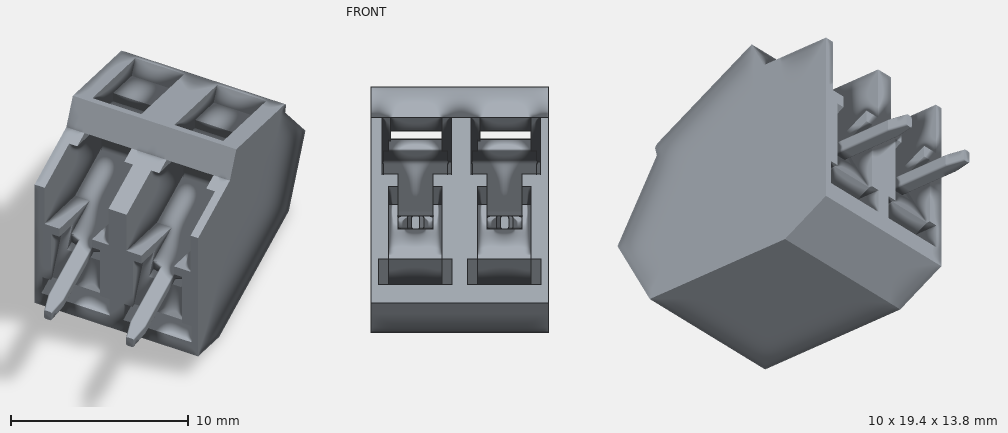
import cadquery as cq
import math


pole_pitch = 5.0
pole_centres = (-pole_pitch / 2, pole_pitch / 2)
pocket_shift = 0.08
terminal_shift = 0.02

width = 10.0
height = 13.8
total_length = 19.4
front_top_z = 12.07
bevel_start_y = 4.55
back_y = 15.4
back_z = 4.42
bottom_back_y = 13.02
bottom_front_y = 3.03
chamfer_top_z = 1.65
bead_radius = 0.56
bead_back_y = 12.63
bead_centre_z = 9.58
bead_end_elevation = math.radians(20)
notch_y = 12.5
notch_z = 9.25

tilt = math.radians(28.3)
slope = math.tan(tilt)
steep = 1 / slope

ridge_y = bevel_start_y + (height - front_top_z) / steep

pocket_width = 3.9
pocket_floor_z = 8.89
neck_start_y = 3.51
neck_width = 2.87

window_width = 2.99
window_front_y = 5.95
window_ledge_start_y = 8.95
window_floor_end = (11.6, 9.23)

cavity_top_z = 8.19
cavity_lip_y = 0.21
cavity_width = window_width
recess_width = 4.15
recess_bottom_z = 2.7
recess_top_z = 4.13

sheet = 0.74
plate_bottom_z = 5.8
plate_top_z = plate_bottom_z + sheet
terminal_width = 3.75
plate_front_y = 4.75
wall_front_y = 8.13
leaf_tip_y = 6.89
outer_bend_radius = 3.47 / 2
leaf_top_end_y = 8.65
inner_bend_radius = 0.25
pin_edge_radius = 0.12
leaf_edge_radius = 0.12
side_edge_radius = 0.08

shoulder_width = 1.98
shoulder_front_y = 1.7
pin_width = 0.93
pin_root_y = 1.5
pin_taper_y = -2.83
pin_tip_y = back_y - total_length
pin_tip_width = 0.47


def along_x(points, extent, centre_x):
    """Closed Y-Z outline extruded over an X extent about a centre."""
    return cq.Workplane("YZ", origin=(centre_x, 0, 0)).polyline(points).close().extrude(extent / 2, both=True)


def ceiling_z(y):
    """Height of the tilted pocket ceiling, which also carries the terminal's leaf."""
    return front_top_z - slope * (y - neck_start_y)


def housing_blank():
    """Outer shape of the housing, the same all across X."""
    bead_centre_y = bead_back_y - bead_radius * math.cos(bead_end_elevation)

    def bead_point(elevation):
        return (
            bead_centre_y + bead_radius * math.cos(elevation),
            bead_centre_z + bead_radius * math.sin(elevation),
        )

    bead_start_elevation = math.pi / 2 - tilt
    bead_middle_elevation = (bead_start_elevation + bead_end_elevation) / 2
    return (
        cq.Workplane("YZ")
        .moveTo(0, chamfer_top_z)
        .lineTo(0, front_top_z)
        .lineTo(bevel_start_y, front_top_z)
        .lineTo(ridge_y, height)
        .lineTo(*bead_point(bead_start_elevation))
        .threePointArc(bead_point(bead_middle_elevation), bead_point(bead_end_elevation))
        .lineTo(notch_y, notch_z)
        .lineTo(back_y, back_z)
        .lineTo(bottom_back_y, 0)
        .lineTo(bottom_front_y, 0)
        .close()
        .extrude(width / 2, both=True)
    )


def front_pocket(pole_x):
    """Pocket between the tilted floor and ceiling, open to the front and to the flat top."""
    floor_end_y = (pocket_floor_z - plate_top_z) / slope
    outline = [
        (0, pocket_floor_z),
        (0, front_top_z),
        (neck_start_y, front_top_z),
        (wall_front_y, ceiling_z(wall_front_y)),
        (wall_front_y, plate_top_z),
        (floor_end_y, plate_top_z),
    ]
    return along_x(outline, pocket_width, pole_x + pocket_shift)


def neck(pole_x):
    """Narrower passage above the pocket ceiling that leads into the window."""
    roof_end_z = front_top_z - slope * (window_front_y - bevel_start_y)
    outline = [
        (neck_start_y, front_top_z),
        (bevel_start_y, front_top_z),
        (window_front_y, roof_end_z),
        (window_front_y, ceiling_z(window_front_y)),
    ]
    flush_shift = (window_width - neck_width) / 2
    return along_x(outline, neck_width, pole_x + flush_shift)


def window(pole_x):
    """Opening in the tilted top: a shallow floor at the back, open to the pocket at the front."""
    floor_y, floor_z = window_floor_end
    ledge_z = floor_z + slope * (floor_y - window_ledge_start_y)
    outline = [
        (window_front_y, height),
        (window_front_y, ceiling_z(window_front_y)),
        (window_ledge_start_y, ceiling_z(window_ledge_start_y)),
        (window_ledge_start_y, ledge_z),
        window_floor_end,
        (floor_y + (height - floor_z) / steep, height),
    ]
    return along_x(outline, window_width, pole_x)


def shoulder_slot(pole_x):
    """Slot through the pocket floor, filled at the bottom by the terminal's shoulder."""
    outline = [
        (0, plate_bottom_z),
        (0, pocket_floor_z),
        (plate_front_y, pocket_floor_z),
        (plate_front_y, plate_bottom_z),
    ]
    return along_x(outline, shoulder_width, pole_x + terminal_shift)


def lower_cavity(pole_x):
    """Wedge-shaped cavity whose apex lies behind the pin, plus the recess under it."""
    apex_y = (cavity_top_z - recess_top_z + steep * cavity_lip_y) / (slope + steep)
    apex_z = cavity_top_z - slope * apex_y
    wedge = along_x(
        [(0, recess_top_z), (0, cavity_top_z), (apex_y, apex_z), (cavity_lip_y, recess_top_z)],
        cavity_width,
        pole_x,
    )
    recess_depth = cavity_lip_y + (recess_top_z - recess_bottom_z) / slope
    recess = along_x(
        [(0, recess_bottom_z), (0, recess_top_z), (recess_depth, recess_top_z), (recess_depth, recess_bottom_z)],
        recess_width,
        pole_x,
    )
    overhang = along_x(
        [(cavity_lip_y, recess_top_z), (recess_depth, recess_top_z), (recess_depth, recess_bottom_z)],
        cavity_width,
        pole_x,
    )
    return wedge.union(recess.cut(overhang))


def terminal_clamp(centre_x):
    """Plate, upright wall and leaf that bends back toward the front along the pocket ceiling."""
    leaf_tip_z = ceiling_z(leaf_tip_y)
    leaf_top_y = leaf_tip_y + sheet * math.sin(tilt)
    leaf_top_z = leaf_tip_z + sheet * math.cos(tilt)
    wall_back_y = leaf_top_end_y + outer_bend_radius * (1 - math.sin(tilt))
    back_corner_z = leaf_top_z - slope * (wall_back_y - leaf_top_y)
    inner_corner_z = ceiling_z(wall_front_y)
    clamp = along_x(
        [
            (plate_front_y, plate_bottom_z),
            (plate_front_y, plate_top_z),
            (wall_front_y, plate_top_z),
            (wall_front_y, inner_corner_z),
            (leaf_tip_y, leaf_tip_z),
            (leaf_top_y, leaf_top_z),
            (wall_back_y, back_corner_z),
            (wall_back_y, plate_bottom_z),
        ],
        terminal_width,
        centre_x,
    )

    def round_edge(body, y, z, radius):
        nearest = cq.selectors.NearestToPointSelector((centre_x, y, z))
        return body.edges("|X").edges(nearest).fillet(radius)

    clamp = round_edge(clamp, wall_back_y, back_corner_z, outer_bend_radius)
    clamp = round_edge(clamp, wall_front_y, plate_top_z, inner_bend_radius)
    clamp = round_edge(clamp, wall_front_y, inner_corner_z, inner_bend_radius)
    clamp = round_edge(clamp, leaf_tip_y, leaf_tip_z, leaf_edge_radius)
    clamp = round_edge(clamp, leaf_top_y, leaf_top_z, leaf_edge_radius)
    return clamp.faces("<X or >X").edges().fillet(side_edge_radius)


def terminal_pin(centre_x):
    """Flat pin with a tapered tip, widening to the shoulder that fills the slot."""
    half_outline = [
        (pin_tip_width / 2, pin_tip_y),
        (pin_width / 2, pin_taper_y),
        (pin_width / 2, pin_root_y),
        (shoulder_width / 2, shoulder_front_y),
    ]
    mirrored = [(-x, y) for x, y in reversed(half_outline)]
    pin = (
        cq.Workplane("XY", origin=(centre_x, 0, plate_bottom_z))
        .polyline(half_outline + mirrored)
        .close()
        .extrude(sheet)
    )
    rounded = pin.faces("<Z or >Z").edges("not(<Y or >Y)").fillet(pin_edge_radius)
    shoulder_back_y = plate_front_y + sheet
    shoulder = along_x(
        [
            (shoulder_front_y, plate_bottom_z),
            (shoulder_front_y, plate_top_z),
            (shoulder_back_y, plate_top_z),
            (shoulder_back_y, plate_bottom_z),
        ],
        shoulder_width,
        centre_x,
    )
    return rounded.union(shoulder)


def make_terminal(pole_x):
    """One metal terminal: the bent clamp and its pin as a single solid."""
    centre_x = pole_x + terminal_shift
    return terminal_clamp(centre_x).union(terminal_pin(centre_x))


def make_housing(terminals):
    """Housing with every pole's openings and matching seats for the terminals."""
    housing = housing_blank()
    for pole_x in pole_centres:
        for opening in (front_pocket, neck, window, shoulder_slot, lower_cavity):
            housing = housing.cut(opening(pole_x))
    for terminal in terminals:
        housing = housing.cut(terminal)
    return housing


terminals = [make_terminal(pole_x) for pole_x in pole_centres]
housing = make_housing(terminals)

result = cq.Compound.makeCompound([housing.val(), *[terminal.val() for terminal in terminals]])